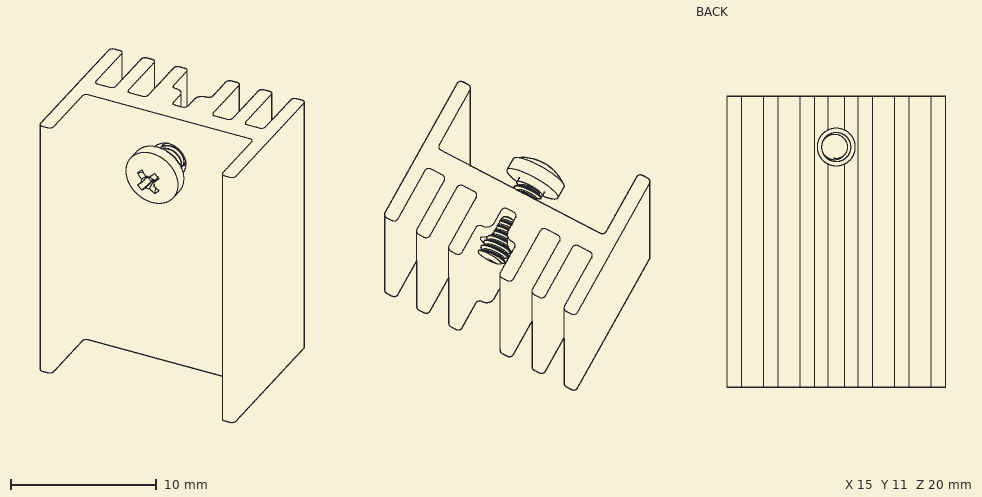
import cadquery as cq
import math

SINK_WIDTH = 15.0
SINK_HEIGHT = 20.0
BASE_THICKNESS = 1.5
LEG_LENGTH = 5.0
FIN_LENGTH = 4.5
FIN_THICKNESS = 1.0
FIN_PITCH = 2.5
FINS_PER_SIDE = 3
EDGE_RADIUS = 0.3

BOSS_HEIGHT = 1.9
GROOVE_WIDTH = 1.1
GROOVE_MOUTH_RADIUS = 0.6

SCREW_Z = 16.5
SCREW_DIAMETER = 2.0
SCREW_LENGTH = 6.0
HEAD_GAP = 1.7
HEAD_DIAMETER = 4.0
HEAD_RIM_HEIGHT = 0.9
HEAD_DOME_HEIGHT = 0.7
NECK_LENGTH = 0.4
NECK_FILLET = 0.08
HOLE_DIAMETER = 2.6

THREAD_PITCH = 0.4
THREAD_DEPTH = 0.22
CREST_WIDTH = 0.05
ROOT_OVERLAP = 0.02
FLANK_ANGLE = math.radians(30)

RECESS_SPAN = 2.0
RECESS_FLOOR_SPAN = 1.0
RECESS_ARM_WIDTH = 0.45
RECESS_DEPTH = 1.0
RECESS_CORE_DIAMETER = 1.0
RECESS_CORE_FLOOR_DIAMETER = 0.65
RECESS_POINT_DEPTH = 0.15

FIN_TOP = BASE_THICKNESS + FIN_LENGTH
BOSS_TOP = BASE_THICKNESS + BOSS_HEIGHT
OUTER_FIN_X = (SINK_WIDTH - FIN_THICKNESS) / 2
HEAD_HEIGHT = HEAD_RIM_HEIGHT + HEAD_DOME_HEIGHT


def upright_bar(x_center, x_width, y_low, y_high):
    """Full-height bar with its bottom end at Z = 0."""
    return (
        cq.Workplane("XY")
        .center(x_center, (y_low + y_high) / 2)
        .rect(x_width, y_high - y_low)
        .extrude(SINK_HEIGHT)
    )


def make_profile():
    """Base plate, boss, legs and fins with sharp edges."""
    profile = upright_bar(0, SINK_WIDTH, 0, BASE_THICKNESS)
    inner_fin_x = OUTER_FIN_X - (FINS_PER_SIDE - 1) * FIN_PITCH
    profile = profile.union(upright_bar(0, 2 * inner_fin_x, 0, BOSS_TOP))
    for side in (-1, 1):
        profile = profile.union(upright_bar(side * OUTER_FIN_X, FIN_THICKNESS, -LEG_LENGTH, FIN_TOP))
        for index in range(1, FINS_PER_SIDE):
            fin_x = side * (OUTER_FIN_X - index * FIN_PITCH)
            profile = profile.union(upright_bar(fin_x, FIN_THICKNESS, 0, FIN_TOP))
    return profile.cut(upright_bar(0, GROOVE_WIDTH, BASE_THICKNESS, BOSS_TOP))


def is_groove_mouth(edge):
    """True for the two edges where the groove opens into the top of the boss."""
    center = edge.Center()
    return abs(center.y - BOSS_TOP) < EDGE_RADIUS and abs(center.x) < GROOVE_WIDTH


def make_heatsink():
    """Rounded extrusion with the clearance hole for the screw."""
    profile = make_profile().val()
    upright_edges = cq.Workplane(profile).edges("|Z").vals()
    other_edges = [edge for edge in upright_edges if not is_groove_mouth(edge)]
    rounded = cq.Workplane(profile).newObject(other_edges).fillet(EDGE_RADIUS)
    mouth_edges = [edge for edge in rounded.edges("|Z").vals() if is_groove_mouth(edge)]
    rounded = rounded.newObject(mouth_edges).fillet(GROOVE_MOUTH_RADIUS)
    hole = (
        cq.Workplane("XZ", origin=(0, 0, SCREW_Z))
        .circle(HOLE_DIAMETER / 2)
        .extrude(-FIN_TOP)
    )
    return rounded.cut(hole)




def make_thread_ridge():
    """Helical ridge between the neck and the tip, with its root sunk slightly into the core."""
    crest_radius = SCREW_DIAMETER / 2
    root_radius = crest_radius - THREAD_DEPTH - ROOT_OVERLAP
    crest_half_width = CREST_WIDTH / 2
    root_half_width = crest_half_width + (crest_radius - root_radius) * math.tan(FLANK_ANGLE)
    start = NECK_LENGTH - THREAD_PITCH
    path = cq.Wire.makeHelix(
        THREAD_PITCH, SCREW_LENGTH - start + THREAD_PITCH, crest_radius, center=cq.Vector(0, 0, start)
    )
    ridge = (
        cq.Workplane("XZ")
        .moveTo(root_radius, start - root_half_width)
        .lineTo(root_radius, start + root_half_width)
        .lineTo(crest_radius, start + crest_half_width)
        .lineTo(crest_radius, start - crest_half_width)
        .close()
        .sweep(cq.Workplane(path), isFrenet=True)
    )
    threaded_length = (
        cq.Workplane("XY", origin=(0, 0, NECK_LENGTH))
        .circle(SCREW_DIAMETER)
        .extrude(SCREW_LENGTH - NECK_LENGTH)
    )
    return ridge.intersect(threaded_length)


def make_recess():
    """Cross recess: two crossed tapered bars and a tapered core with a pointed floor."""
    top = cq.Workplane("XY", origin=(0, 0, -HEAD_HEIGHT))
    core_radius = RECESS_CORE_DIAMETER / 2
    floor_radius = RECESS_CORE_FLOOR_DIAMETER / 2
    recess = (
        cq.Workplane("XZ", origin=(0, 0, -HEAD_HEIGHT))
        .polyline([
            (0, 0),
            (core_radius, 0),
            (floor_radius, RECESS_DEPTH),
            (0, RECESS_DEPTH + RECESS_POINT_DEPTH),
        ])
        .close()
        .revolve(360, (0, 0), (0, 1))
    )
    arm = (
        top.rect(RECESS_SPAN, RECESS_ARM_WIDTH)
        .workplane(offset=RECESS_DEPTH)
        .rect(RECESS_FLOOR_SPAN, RECESS_ARM_WIDTH)
        .loft()
    )
    for angle in (-45, 45):
        recess = recess.union(arm.rotate((0, 0, 0), (0, 0, 1), angle))
    return recess


def make_screw():
    """Domed head, filleted neck and threaded shank, placed along +Y."""
    shank_radius = SCREW_DIAMETER / 2
    core_radius = shank_radius - THREAD_DEPTH
    head_radius = HEAD_DIAMETER / 2
    dome_radius = (head_radius**2 + HEAD_DOME_HEIGHT**2) / (2 * HEAD_DOME_HEIGHT)
    blank = (
        cq.Workplane("XZ")
        .moveTo(0, -HEAD_HEIGHT)
        .radiusArc((head_radius, -HEAD_RIM_HEIGHT), -dome_radius)
        .lineTo(head_radius, 0)
        .lineTo(shank_radius + NECK_FILLET, 0)
        .radiusArc((shank_radius, NECK_FILLET), NECK_FILLET)
        .lineTo(shank_radius, NECK_LENGTH)
        .lineTo(core_radius, NECK_LENGTH)
        .lineTo(core_radius, SCREW_LENGTH)
        .lineTo(0, SCREW_LENGTH)
        .close()
        .revolve(360, (0, 0), (0, 1))
    )
    screw = blank.union(make_thread_ridge()).cut(make_recess())
    return screw.rotate((0, 0, 0), (1, 0, 0), -90).translate((0, -HEAD_GAP, SCREW_Z))


heatsink = make_heatsink()
screw = make_screw()
result = cq.Compound.makeCompound([heatsink.val(), screw.val()])